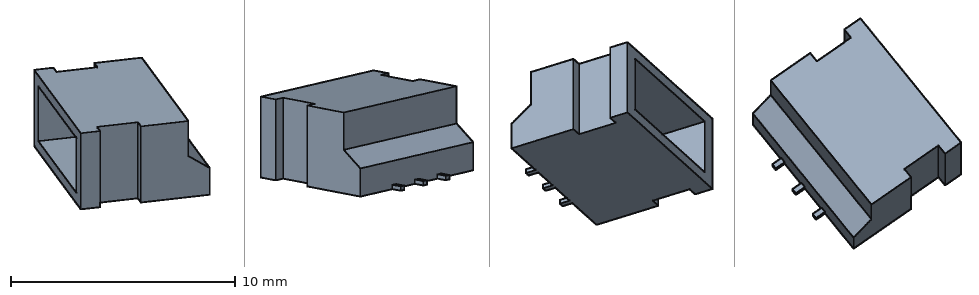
import cadquery as cq

width = 7.5
body_depth = 6.0
height = 3.7

step_depth = 1.0
slope_bottom = 1.29
slope_top = 1.995

side_wall = 0.69
floor_wall = 0.52
back_wall = 0.5

notch_depth = 0.495
notch_front = 0.9
notch_length = 1.9

pin_count = 3
pin_pitch = 1.5
pin_width = 0.255
pin_height = 0.2
pin_length = 0.5


def make_body():
    """Extrude the side profile across the full width."""
    top_depth = body_depth - step_depth
    profile = [
        (0, 0),
        (body_depth, 0),
        (body_depth, slope_bottom),
        (top_depth, slope_top),
        (top_depth, height),
        (0, height),
    ]
    return cq.Workplane("YZ").polyline(profile).close().extrude(width / 2, both=True)


def make_cavity():
    """Pocket that stops one back wall short of the upper rear face."""
    cavity_depth = body_depth - step_depth - back_wall
    return (
        cq.Workplane("XY")
        .box(width - 2 * side_wall, cavity_depth, height - 2 * floor_wall, centered=(True, False, False))
        .translate((0, 0, floor_wall))
    )


def make_notch(side):
    """Notch on one side: side is -1 or 1 along X."""
    return (
        cq.Workplane("XY")
        .box(2 * notch_depth, notch_length, height, centered=(True, False, False))
        .translate((side * width / 2, notch_front, 0))
    )


def make_pin(x):
    """Flat pin flush with the mounting face."""
    return (
        cq.Workplane("XY")
        .box(pin_width, pin_length, pin_height, centered=(True, False, False))
        .translate((x, body_depth, 0))
    )


result = make_body().cut(make_cavity())
for side in (-1, 1):
    result = result.cut(make_notch(side))
for index in range(pin_count):
    result = result.union(make_pin((index - (pin_count - 1) / 2) * pin_pitch))